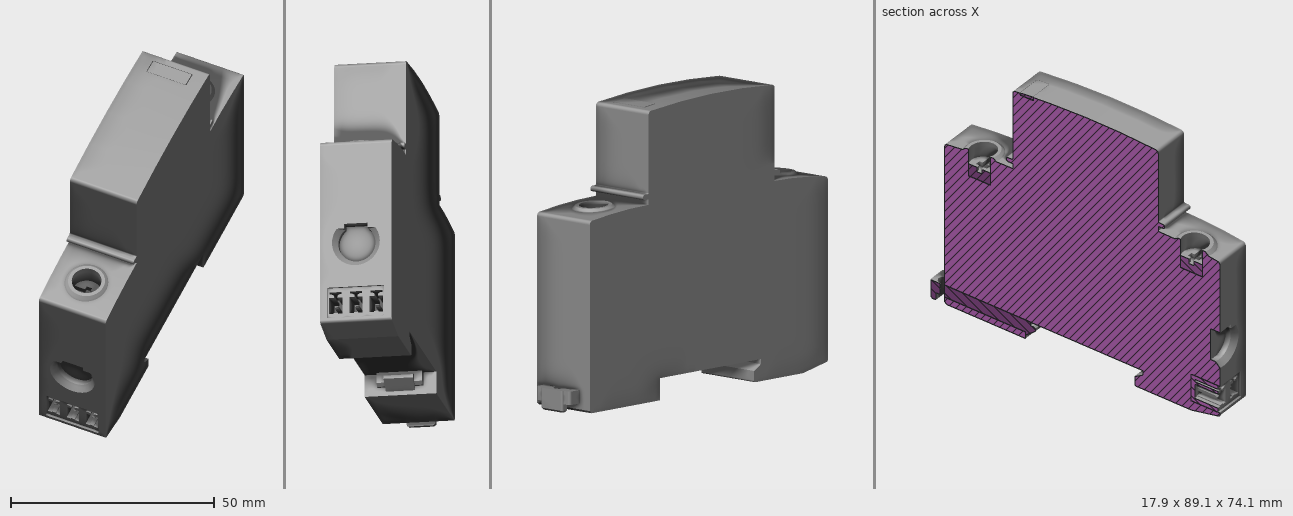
import cadquery as cq
import math


WIDTH = 17.9
DEPTH = 84.8
END_HEIGHT = 47.9
SHOULDER_HEIGHT = 49.4
TOWER_FRONT = 19.0
TOWER_BACK = 63.9
TOWER_HEIGHT = 74.1
TOWER_CREST = 37.4
TOWER_CROWN_RADIUS = 233.4
FRONT_RUN = TOWER_FRONT
BACK_RUN = DEPTH - TOWER_BACK
TOP_EDGE_FILLET = 1.0

RAIL_HEIGHT = 5.5
RAIL_FRONT = 23.9
RAIL_BACK = 59.9
RAIL_LIP_FRONT = 26.3
RAIL_LIP_TOP = 2.85
RAIL_LIP_ROOT = 4.3
BEVEL_LENGTH = 8.8
BEVEL_HEIGHT = 1.8
BEVEL_FILLET = 0.7
FOOT_CHAMFER = 0.6
LIP_FILLET = 0.45

RIB_BOTTOM = 50.7
RIB_THICKNESS = 1.3
RIB_REACH = 2.0
RIB_NOSE_FILLET = 0.6
RIB_ROOT_FILLET = 0.3

SCREW_INSET_FRONT = 8.8
SCREW_INSET_BACK = 10.8
BOSS_TILT = 3.7
BOSS_HEIGHT = 0.6
BOSS_BASE_RADIUS = 5.35
BOSS_TOP_RADIUS = 4.5
BOSS_ROOT = 0.3
SCREW_RADIUS = 3.65
SCREW_SINK = 3.9
SCREW_LENGTH = 3.6
SLOT_WIDTH = 1.4
SLOT_DEPTH = 1.3
CROSS_LENGTH = 3.4

ENTRY_HEIGHT = 22.1
ENTRY_MOUTH_RADIUS = 6.0
ENTRY_BORE_RADIUS = 4.6
ENTRY_CONE_DEPTH = 1.4
ENTRY_DEPTH = 2.9
ENTRY_FLAT = 3.6
NOTCH_WIDTH = 5.9
NOTCH_TOP = 4.7

CONNECTOR_WIDTH = 14.1
CONNECTOR_BOTTOM = 2.9
CONNECTOR_TOP = 10.7
CONNECTOR_RECESS = 0.6
CONNECTOR_LENGTH = 8.9
PORT_COUNT = 3
PORT_PITCH = 5.1
PORT_WIDTH = 3.3
PORT_BOTTOM = 4.1
PORT_TOP = 8.2
PORT_DEPTH = 7.1
PORT_ROW_OFFSET = -0.1
KEY_WIDTH = 3.0
KEY_TOP = 9.6
KEY_SHOULDER = 9.1
KEY_TAPER_END = 8.7
KEY_TAPER_WIDTH = 2.0
KEY_NECK = 0.8
FLOOR_STRIP_WIDTH = 1.1
FLOOR_STRIP_HEIGHT = 0.3
PIN_SIZE = 0.8
PIN_HEIGHT = 6.15
PIN_TIP_GAP = 1.1
PIN_TIP_LENGTH = 0.5
PIN_TIP_EDGE = 0.1

LABEL_WIDTH = 10.3
LABEL_FRONT = 57.55
LABEL_LENGTH = 3.8
LABEL_GAP = 0.2
LABEL_DEPTH = 0.7
LABEL_RISE = 0.1

CLIP_WIDTH = 11.4
CLIP_BOTTOM = 2.1
CLIP_FRONT = 58.3
CLIP_FRONT_CHAMFER = 0.8
CLIP_SHOULDER = 88.6
CLIP_BACK = 89.1
CLIP_CORNER = 0.7
TAB_WIDTH = 7.3
TAB_TAPER = 0.5
TAB_LIP_FRONT = 87.4
TAB_LIP_BOTTOM = 0.0
TAB_LIP_CHAMFER = 0.5
WINDOW_DEPTH = 1.25
WINDOW_CORNER = 0.6
WINDOW_ARCH_RADIUS = 1.4
WINDOW_ARCH_CENTRE = 86.2
HOOK_WIDTH = 7.3
HOOK_TIP = 56.75
HOOK_TOP = 4.6
HOOK_TIP_TOP = 4.3
HOOK_TIP_BOTTOM = 3.5
HOOK_ROOT_BOTTOM = 1.1
HOOK_TOP_EDGE = 57.4


def box(x_size, y_range, z_range, x_centre=0.0):
    """Box centred on x_centre that spans the given Y and Z ranges."""
    y_size = y_range[1] - y_range[0]
    z_size = z_range[1] - z_range[0]
    corner = (x_centre - x_size / 2, y_range[0], z_range[0])
    return cq.Workplane("XY").box(x_size, y_size, z_size, centered=False).translate(corner)


def side_profile(width):
    """Workplane for outlines in (Y, Z), to be extruded by width about X = 0."""
    return cq.Workplane("YZ", origin=(-width / 2, 0, 0))


def tower_top(y, rise=0.0):
    """Height of the crowned tower top, or of a concentric arc above it."""
    radius = TOWER_CROWN_RADIUS + rise
    centre = TOWER_HEIGHT - TOWER_CROWN_RADIUS
    return centre + math.sqrt(radius**2 - (y - TOWER_CREST) ** 2)


def shoulder_top(fraction, run):
    """Height of a shoulder of length run, on an arc that leaves the tower wall level.

    The fraction is 0 at the tower wall and 1 at the outer end.
    """
    drop = SHOULDER_HEIGHT - END_HEIGHT
    radius = (run**2 + drop**2) / (2 * drop)
    return SHOULDER_HEIGHT - radius + math.sqrt(radius**2 - (fraction * run) ** 2)


def housing_blank():
    """Stepped outline with crowned top, falling shoulders and rail slot."""
    return (
        side_profile(WIDTH)
        .moveTo(0, BEVEL_HEIGHT)
        .lineTo(BEVEL_LENGTH, 0)
        .lineTo(RAIL_LIP_FRONT, 0)
        .lineTo(RAIL_LIP_FRONT, RAIL_LIP_TOP)
        .lineTo(RAIL_FRONT, RAIL_LIP_ROOT)
        .lineTo(RAIL_FRONT, RAIL_HEIGHT)
        .lineTo(RAIL_BACK, RAIL_HEIGHT)
        .lineTo(RAIL_BACK, 0)
        .lineTo(DEPTH - FOOT_CHAMFER, 0)
        .lineTo(DEPTH, FOOT_CHAMFER)
        .lineTo(DEPTH, END_HEIGHT)
        .threePointArc(
            ((DEPTH + TOWER_BACK) / 2, shoulder_top(0.5, BACK_RUN)),
            (TOWER_BACK, SHOULDER_HEIGHT),
        )
        .lineTo(TOWER_BACK, tower_top(TOWER_BACK))
        .threePointArc((TOWER_CREST, TOWER_HEIGHT), (TOWER_FRONT, tower_top(TOWER_FRONT)))
        .lineTo(TOWER_FRONT, SHOULDER_HEIGHT)
        .threePointArc((TOWER_FRONT / 2, shoulder_top(0.5, FRONT_RUN)), (0, END_HEIGHT))
        .close()
        .extrude(WIDTH)
    )


def round_outline_edges(body):
    """Round the upper corners, the bevel edge and the lower rail lip."""
    rounded_edges = [
        (0, END_HEIGHT, TOP_EDGE_FILLET),
        (DEPTH, END_HEIGHT, TOP_EDGE_FILLET),
        (TOWER_FRONT, tower_top(TOWER_FRONT), TOP_EDGE_FILLET),
        (TOWER_BACK, tower_top(TOWER_BACK), TOP_EDGE_FILLET),
        (0, BEVEL_HEIGHT, BEVEL_FILLET),
        (RAIL_LIP_FRONT, 0, LIP_FILLET),
    ]
    for y, z, radius in rounded_edges:
        edge = cq.selectors.NearestToPointSelector((0, y, z))
        body = body.edges("|X").edges(edge).fillet(radius)
    return body


def add_rib(body, wall_y, direction):
    """Add a round-nosed rib that stands out from a tower wall, with a fillet along its upper root."""
    nose_y = wall_y + direction * RIB_REACH
    y_range = (min(wall_y, nose_y), max(wall_y, nose_y))
    rib_top = RIB_BOTTOM + RIB_THICKNESS
    bar = box(WIDTH, y_range, (RIB_BOTTOM, rib_top))
    nose = ">Y" if direction > 0 else "<Y"
    bar = bar.faces(nose).edges("|X").fillet(RIB_NOSE_FILLET)
    root = cq.selectors.NearestToPointSelector((0, wall_y, rib_top))
    return body.union(bar).edges("|X").edges(root).fillet(RIB_ROOT_FILLET)


def screw_places():
    """Origin of each screw on its shoulder, with the tilt that follows the shoulder's slope."""
    front_height = shoulder_top(1 - SCREW_INSET_FRONT / FRONT_RUN, FRONT_RUN)
    back_height = shoulder_top(1 - SCREW_INSET_BACK / BACK_RUN, BACK_RUN)
    return [
        ((0, SCREW_INSET_FRONT, front_height), BOSS_TILT),
        ((0, DEPTH - SCREW_INSET_BACK, back_height), -BOSS_TILT),
    ]


def boss(origin, tilt):
    """Conical collar around a screw hole, continued a little below the surface."""
    flare = (BOSS_BASE_RADIUS - BOSS_TOP_RADIUS) / BOSS_HEIGHT
    root_radius = BOSS_BASE_RADIUS + flare * BOSS_ROOT
    half_outline = [
        (0, -BOSS_ROOT),
        (root_radius, -BOSS_ROOT),
        (BOSS_TOP_RADIUS, BOSS_HEIGHT),
        (0, BOSS_HEIGHT),
    ]
    cone = cq.Workplane("XZ").polyline(half_outline).close().revolve(360, (0, 0), (0, 1))
    return cone.rotate((0, 0, 0), (1, 0, 0), tilt).translate(origin)


def screw_cylinder(origin, z_range):
    """Upright cylinder of the screw's radius, with heights measured from the origin."""
    bottom, top = z_range
    base = cq.Workplane("XY", origin=origin).workplane(offset=bottom)
    return base.circle(SCREW_RADIUS).extrude(top - bottom)


def screw_hole(origin):
    """Upright blind hole that holds the screw and opens through the boss."""
    return screw_cylinder(origin, (-SCREW_SINK - SCREW_LENGTH, 2 * BOSS_HEIGHT))


def build_screw(origin):
    """Screw sunk in its hole, with a long slot crossed by a short one."""
    slot_plane = cq.Workplane("XY", origin=origin).workplane(offset=-SCREW_SINK - SLOT_DEPTH)
    slot = slot_plane.rect(2 * SCREW_RADIUS, SLOT_WIDTH).extrude(SLOT_DEPTH)
    cross = slot_plane.rect(SLOT_WIDTH, CROSS_LENGTH).extrude(SLOT_DEPTH)
    body = screw_cylinder(origin, (-SCREW_SINK - SCREW_LENGTH, -SCREW_SINK))
    return body.cut(slot).cut(cross)


def wire_entry():
    """Blind countersunk bore with a flattened upper side and a notch above it."""
    half_outline = [
        (0, 0),
        (ENTRY_MOUTH_RADIUS, 0),
        (ENTRY_BORE_RADIUS, ENTRY_CONE_DEPTH),
        (ENTRY_BORE_RADIUS, ENTRY_DEPTH),
        (0, ENTRY_DEPTH),
    ]
    bore = (
        cq.Workplane("XY")
        .polyline(half_outline)
        .close()
        .revolve(360, (0, 0), (0, 1))
        .translate((0, 0, ENTRY_HEIGHT))
    )
    flat_height = ENTRY_HEIGHT + ENTRY_FLAT
    above_flat = box(WIDTH, (0, ENTRY_DEPTH), (flat_height, ENTRY_HEIGHT + 2 * ENTRY_MOUTH_RADIUS))
    notch = box(NOTCH_WIDTH, (0, ENTRY_DEPTH), (ENTRY_HEIGHT, ENTRY_HEIGHT + NOTCH_TOP))
    return bore.cut(above_flat).union(notch)


def connector_block(front):
    """Plain block of the connector from the given front plane to its inner end."""
    return box(CONNECTOR_WIDTH, (front, CONNECTOR_LENGTH), (CONNECTOR_BOTTOM, CONNECTOR_TOP))


def port(x):
    """Socket cavity: square chamber with a raised floor strip and a T-shaped key slot above."""
    y_range = (CONNECTOR_RECESS, CONNECTOR_RECESS + PORT_DEPTH)
    chamber = box(PORT_WIDTH, y_range, (PORT_BOTTOM, PORT_TOP), x)
    floor_strip = box(FLOOR_STRIP_WIDTH, y_range, (PORT_BOTTOM, PORT_BOTTOM + FLOOR_STRIP_HEIGHT), x)
    half_key = [
        (KEY_NECK / 2, PORT_TOP),
        (KEY_NECK / 2, KEY_TAPER_END),
        (KEY_TAPER_WIDTH / 2, KEY_SHOULDER),
        (KEY_WIDTH / 2, KEY_SHOULDER),
        (KEY_WIDTH / 2, KEY_TOP),
    ]
    other_half = [(-half_x, z) for half_x, z in reversed(half_key)]
    key = (
        cq.Workplane("XZ", origin=(x, y_range[0], 0))
        .polyline(half_key + other_half)
        .close()
        .extrude(-PORT_DEPTH)
    )
    return chamber.cut(floor_strip).union(key)


def contact_pin(x):
    """Square pin with a chisel tip, standing out from the inner end of a port."""
    tip_end = CONNECTOR_RECESS + PIN_TIP_GAP
    shank_front = tip_end + PIN_TIP_LENGTH
    shank_length = CONNECTOR_RECESS + PORT_DEPTH - shank_front
    shank_plane = cq.Workplane("XZ", origin=(x, shank_front, PIN_HEIGHT))
    shank = shank_plane.rect(PIN_SIZE, PIN_SIZE).extrude(-shank_length)
    tip = (
        shank_plane.rect(PIN_SIZE, PIN_SIZE)
        .workplane(offset=PIN_TIP_LENGTH)
        .rect(PIN_SIZE, PIN_TIP_EDGE)
        .loft()
    )
    return shank.union(tip)


def build_connector():
    """Connector with a row of ports, each holding a contact pin."""
    body = connector_block(CONNECTOR_RECESS)
    for index in range(PORT_COUNT):
        x = PORT_ROW_OFFSET + (index - (PORT_COUNT - 1) / 2) * PORT_PITCH
        body = body.cut(port(x)).union(contact_pin(x))
    return body


def label_prism(width, y_range, rise):
    """Block whose top follows the tower crown, at the given height above it."""
    middle = sum(y_range) / 2
    bottom = tower_top(middle) - LABEL_DEPTH
    return (
        side_profile(width)
        .moveTo(y_range[0], bottom)
        .lineTo(y_range[1], bottom)
        .lineTo(y_range[1], tower_top(y_range[1], rise))
        .threePointArc((middle, tower_top(middle, rise)), (y_range[0], tower_top(y_range[0], rise)))
        .close()
        .extrude(width)
    )


def build_label():
    """Label plate that stands slightly proud of the tower top."""
    return label_prism(LABEL_WIDTH, (LABEL_FRONT, LABEL_FRONT + LABEL_LENGTH), LABEL_RISE)


def label_pocket():
    """Pocket with a narrow gap behind the label and at both of its ends."""
    y_range = (LABEL_FRONT, LABEL_FRONT + LABEL_LENGTH + LABEL_GAP)
    return label_prism(LABEL_WIDTH + 2 * LABEL_GAP, y_range, LABEL_RISE)


def clip_hook():
    """Wedge that reaches forward under the rail."""
    outline = [
        (RAIL_BACK, HOOK_ROOT_BOTTOM),
        (HOOK_TIP, HOOK_TIP_BOTTOM),
        (HOOK_TIP, HOOK_TIP_TOP),
        (HOOK_TOP_EDGE, HOOK_TOP),
        (RAIL_BACK, HOOK_TOP),
    ]
    return side_profile(HOOK_WIDTH).polyline(outline).close().extrude(HOOK_WIDTH)


def clip_window():
    """Opening behind the housing: a wide slot with an arch in its back edge."""
    window_back = DEPTH + WINDOW_DEPTH
    slot = (
        box(TAB_WIDTH, (DEPTH, window_back), (CLIP_BOTTOM, RAIL_HEIGHT))
        .faces(">Y")
        .edges("|Z")
        .fillet(WINDOW_CORNER)
    )
    arch = (
        cq.Workplane("XY", origin=(0, WINDOW_ARCH_CENTRE, CLIP_BOTTOM))
        .circle(WINDOW_ARCH_RADIUS)
        .extrude(RAIL_HEIGHT - CLIP_BOTTOM)
    )
    return slot.union(arch)


def build_clip():
    """Sliding bar with a rail hook in front and a pull tab behind."""
    bar = box(CLIP_WIDTH, (CLIP_FRONT, CLIP_SHOULDER), (CLIP_BOTTOM, RAIL_HEIGHT))
    bar = bar.faces("<Y").edges("<Z").chamfer(CLIP_FRONT_CHAMFER)
    bar = bar.faces(">Y").edges("|Z").fillet(CLIP_CORNER)
    tab = (
        box(TAB_WIDTH, (TAB_LIP_FRONT, CLIP_BACK), (TAB_LIP_BOTTOM, RAIL_HEIGHT))
        .faces(">Y")
        .edges("|Z")
        .fillet(TAB_TAPER)
        .faces("<Z")
        .edges(">Y")
        .chamfer(TAB_LIP_CHAMFER)
    )
    return bar.union(tab).union(clip_hook()).cut(clip_window())


def clip_channel():
    """Channel through the rear foot that the clip bar slides in."""
    return box(CLIP_WIDTH, (RAIL_BACK, DEPTH), (CLIP_BOTTOM, RAIL_HEIGHT))


def build_housing():
    """Housing with its ribs and bosses, and with a seat for every other body."""
    body = round_outline_edges(housing_blank())
    body = add_rib(body, TOWER_FRONT, -1)
    body = add_rib(body, TOWER_BACK, 1)
    for origin, tilt in screw_places():
        body = body.union(boss(origin, tilt)).cut(screw_hole(origin))
    body = body.cut(wire_entry())
    body = body.cut(connector_block(0))
    body = body.cut(label_pocket())
    return body.cut(clip_channel())


housing = build_housing()
screws = [build_screw(origin) for origin, _ in screw_places()]
connector = build_connector()
label = build_label()
clip = build_clip()

result = cq.Compound.makeCompound(
    [housing.val(), *[screw.val() for screw in screws], connector.val(), label.val(), clip.val()]
)